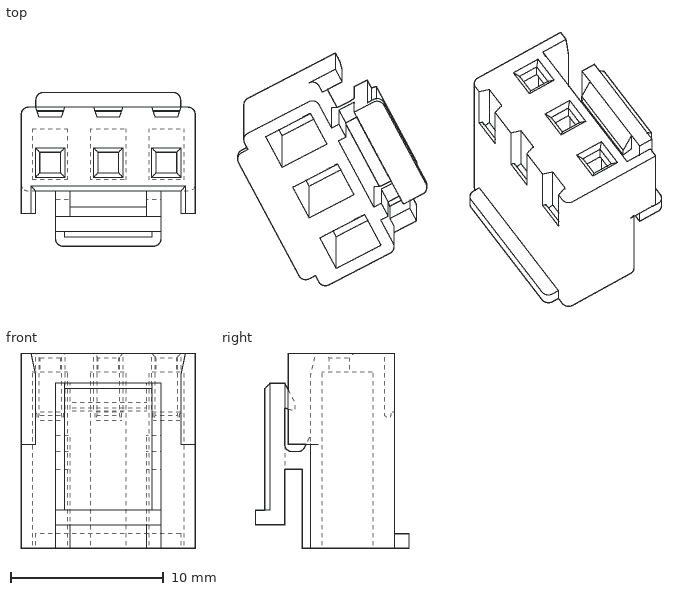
import cadquery as cq

body_width = 11.43
body_depth = 5.52
body_height = 12.78
corner_radius = 0.5

ear_inner_half = 4.75
ear_reach = 1.47
ear_bottom = 6.81

bevel_height = 1.45
bevel_side = 0.31
bevel_back = 0.35

contact_pitch = 3.81
contact_count = 3
bore_size = 1.34
bore_lead_in = 0.3
bore_y = 1.88
bore_bottom = 11.55
chamber_width = 2.3
chamber_front = 0.77
chamber_back = 4.09

notch_back_width = 1.92
notch_front_width = 1.48
notch_depth = 0.65
notch_lip_z = 8.95
notch_lip_thickness = 0.22
notch_lip_height = 0.58
notch_lip_draft = 0.09

flange_width = 9.51
flange_reach = 0.96
flange_height = 0.97

latch_width = 6.93
latch_top = 10.82
latch_bottom = 1.53
latch_back = 1.67
latch_front = 2.65
foot_reach = 3.62
foot_top = 2.5
pad_width = 5.73
pad_front = 3.0

arm_inner_half = 2.49
rib_reach = 0.55
arm_bottom = 5.18
arm_top = 6.35
arm_slope_run = 0.52
arm_slope_rise = 1.05
arm_fillet = 0.45

hook_tip = 1.02
hook_tip_top = 9.56
hook_tip_bottom = 9.0
hook_root_bottom = 9.19

arm_width = latch_width / 2 - arm_inner_half
contact_x = [(i - (contact_count - 1) / 2) * contact_pitch for i in range(contact_count)]


def block(x_min, x_max, y_min, y_max, z_min, z_max):
    size = (x_max - x_min, y_max - y_min, z_max - z_min)
    return cq.Workplane("XY").box(*size, centered=False).translate((x_min, y_min, z_min))


def centred_block(width, y_min, y_max, z_min, z_max):
    return block(-width / 2, width / 2, y_min, y_max, z_min, z_max)


def side_profile(points, x_min, x_max):
    """Extrude a closed (Y, Z) outline from x_min to x_max."""
    outline = cq.Workplane("YZ", origin=(x_min, 0, 0)).polyline(points).close()
    return outline.extrude(x_max - x_min)


def make_body():
    lower = centred_block(body_width, 0, body_depth, 0, ear_bottom).edges("|Z").fillet(corner_radius)
    upper = centred_block(body_width, -ear_reach, body_depth, ear_bottom, body_height)
    upper = upper.edges("|Z and >Y").fillet(corner_radius)
    bay = centred_block(2 * ear_inner_half, -ear_reach, 0, ear_bottom, body_height)
    return lower.union(upper.cut(bay)).cut(make_bay_bevel())


def make_bay_bevel():
    """Tapered cutter that widens the bay to the sides and to the back towards the top."""

    def bay_outline(workplane, side, back):
        half = ear_inner_half + side
        corners = [(-half, -ear_reach), (half, -ear_reach), (half, back), (-half, back)]
        return workplane.polyline(corners).close()

    base = cq.Workplane("XY", origin=(0, 0, body_height - bevel_height))
    lower_outline = bay_outline(base, 0, 0)
    upper_outline = bay_outline(lower_outline.workplane(offset=bevel_height), bevel_side, bevel_back)
    return upper_outline.loft(ruled=True)


def make_cavity(x):
    mouth_size = bore_size + 2 * bore_lead_in
    shaft = cq.Workplane("XY", origin=(x, bore_y, 0)).rect(bore_size, bore_size).extrude(body_height)
    mouth = (
        cq.Workplane("XY", origin=(x, bore_y, body_height - bore_lead_in))
        .rect(bore_size, bore_size)
        .workplane(offset=bore_lead_in)
        .rect(mouth_size, mouth_size)
        .loft(ruled=True)
    )
    half_chamber = chamber_width / 2
    chamber = block(x - half_chamber, x + half_chamber, chamber_front, chamber_back, 0, bore_bottom)
    return shaft.union(mouth).union(chamber)


def make_notch(x):
    """Trapezoidal notch whose floor slopes down to a groove in front of a raised rear lip."""
    front_y = body_depth - notch_depth
    lip_y = body_depth - notch_lip_thickness
    groove_y = lip_y - notch_lip_draft
    groove_z = notch_lip_z - notch_lip_height
    plan = [
        (x - notch_back_width / 2, body_depth),
        (x - notch_front_width / 2, front_y),
        (x + notch_front_width / 2, front_y),
        (x + notch_back_width / 2, body_depth),
    ]
    floor = [
        (front_y, body_height),
        (front_y, groove_z + groove_y - front_y),
        (groove_y, groove_z),
        (lip_y, notch_lip_z),
        (body_depth, notch_lip_z),
        (body_depth, body_height),
    ]
    half = notch_back_width / 2
    prism = cq.Workplane("XY").polyline(plan).close().extrude(body_height)
    return prism.intersect(side_profile(floor, x - half, x + half))


def make_flange():
    flange = centred_block(flange_width, body_depth - corner_radius, body_depth + flange_reach, 0, flange_height)
    return flange.edges("|Z and >Y").fillet(corner_radius)


def make_arm(x_min):
    """Full-height rib on the front wall with the arm that joins it to the latch."""
    valley_y = -arm_slope_run
    outline = [
        (0, 0),
        (-rib_reach, 0),
        (-rib_reach, arm_bottom),
        (-latch_front, arm_bottom),
        (-latch_front, latch_top),
        (-latch_back, latch_top),
        (-latch_back, arm_top),
        (valley_y, arm_top),
        (0, arm_top + arm_slope_rise),
    ]
    arm = side_profile(outline, x_min, x_min + arm_width)
    x_mid = x_min + arm_width / 2
    for y in (-latch_back, valley_y):
        arm = arm.edges(cq.selectors.NearestToPointSelector((x_mid, y, arm_top))).fillet(arm_fillet)
    return arm


def make_latch():
    plate = centred_block(latch_width, -latch_front, -latch_back, latch_bottom, latch_top)
    pad_outline = [
        (-latch_front, foot_top),
        (-pad_front, foot_top),
        (-pad_front, latch_top - (pad_front - latch_front)),
        (-latch_front, latch_top),
    ]
    pad = side_profile(pad_outline, -pad_width / 2, pad_width / 2)
    foot = centred_block(latch_width, -foot_reach, -latch_back, latch_bottom, foot_top)
    foot = foot.edges("|Z and <Y").fillet(corner_radius)
    hook_outline = [
        (-latch_back, latch_top),
        (-hook_tip, hook_tip_top),
        (-hook_tip, hook_tip_bottom),
        (-latch_back, hook_root_bottom),
    ]
    hook = side_profile(hook_outline, -arm_inner_half, arm_inner_half)
    return plate.union(pad).union(foot).union(hook)


result = make_body()
result = result.union(make_flange())
for x in contact_x:
    result = result.cut(make_cavity(x)).cut(make_notch(x))
for arm_x in (-latch_width / 2, arm_inner_half):
    result = result.union(make_arm(arm_x))
result = result.union(make_latch())